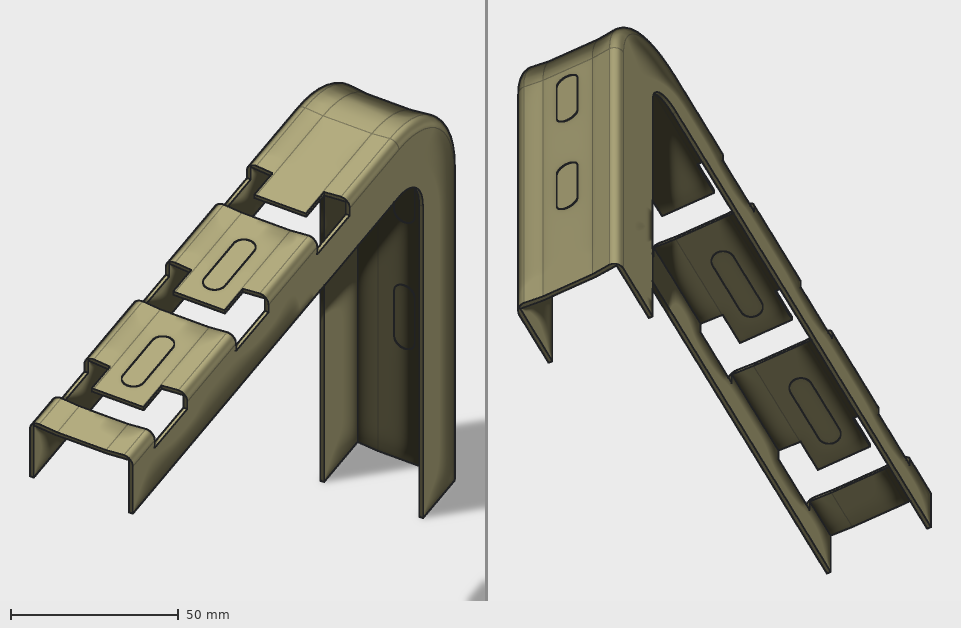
import cadquery as cq
import math

WIDTH = 35.02
ARM_REACH = 200.62
LEG_HEIGHT = 160.62

CHANNEL_DEPTH = 22.0
SHEET = 1.3
CORNER_RADIUS = 3.1
WEB_RECESS = 0.62
RECESS_WIDTH = 16.6
BEND_RADIUS = 37.0

NOTCH_COUNT = 3
PITCH = 50.0
NOTCH_LENGTH = 20.0
NOTCH_DEPTH = 6.2
FIRST_NOTCH = 67.1
TONGUE_LENGTH = 11.1
TONGUE_WIDTH = 17.6

PAD_LENGTH = 25.0
PAD_WIDTH = 7.0
PAD_RISE = 0.2
PADS_PER_LIMB = 2
FIRST_ARM_PAD = 109.6
FIRST_LEG_PAD = 53.8

HALF = WIDTH / 2
HALF_RECESS = RECESS_WIDTH / 2
INNER_HALF = HALF - SHEET
WEB_OUTSIDE = -WEB_RECESS
WEB_INSIDE = WEB_OUTSIDE - SHEET
STRAIGHT_ARM = ARM_REACH - BEND_RADIUS
STRAIGHT_LEG = LEG_HEIGHT - BEND_RADIUS


def channel_profile():
    """Open-bottomed channel in the XZ plane at the start of the straight arm."""
    shoulder = HALF - CORNER_RADIUS
    diagonal = CORNER_RADIUS * (1 - math.sqrt(0.5))
    inner_recess = HALF_RECESS + SHEET / 2
    return (
        cq.Workplane("XZ", origin=(0, -BEND_RADIUS, 0))
        .moveTo(-HALF, -CHANNEL_DEPTH)
        .lineTo(-HALF, -CORNER_RADIUS)
        .threePointArc((-HALF + diagonal, -diagonal), (-shoulder, 0))
        .lineTo(-HALF_RECESS, WEB_OUTSIDE)
        .lineTo(HALF_RECESS, WEB_OUTSIDE)
        .lineTo(shoulder, 0)
        .threePointArc((HALF - diagonal, -diagonal), (HALF, -CORNER_RADIUS))
        .lineTo(HALF, -CHANNEL_DEPTH)
        .lineTo(INNER_HALF, -CHANNEL_DEPTH)
        .lineTo(INNER_HALF, -SHEET)
        .lineTo(inner_recess, WEB_INSIDE)
        .lineTo(-inner_recess, WEB_INSIDE)
        .lineTo(-INNER_HALF, -SHEET)
        .lineTo(-INNER_HALF, -CHANNEL_DEPTH)
        .close()
    )


def elbow_turn(body):
    """Carry a body from its place on the arm to the matching place on the leg."""
    axis_start = (0, -BEND_RADIUS, -BEND_RADIUS)
    axis_end = (1, -BEND_RADIUS, -BEND_RADIUS)
    mirrored = body.mirror("XZ", (0, -BEND_RADIUS, 0))
    return mirrored.rotate(axis_start, axis_end, -90)


def bent_channel():
    arm = channel_profile().extrude(STRAIGHT_ARM)
    leg = elbow_turn(channel_profile().extrude(STRAIGHT_LEG))
    elbow = channel_profile().revolve(90, (0, -BEND_RADIUS, 0), (-1, -BEND_RADIUS, 0))
    return arm.union(elbow).union(leg)


def box_between(x_range, y_range, z_range):
    """Axis-aligned box from the low and high limit on each axis."""
    x_low, x_high = x_range
    y_low, y_high = y_range
    z_low, z_high = z_range
    box = cq.Workplane("XY").box(x_high - x_low, y_high - y_low, z_high - z_low, centered=False)
    return box.translate((x_low, y_low, z_low))


def notch_cutter(start):
    """U-shaped cutter that clears the top of the arm around a tongue."""
    notch_z = (-NOTCH_DEPTH, 0)
    gap = box_between((-HALF, HALF), (-start - NOTCH_LENGTH, -start), notch_z)
    tongue_x = (-TONGUE_WIDTH / 2, TONGUE_WIDTH / 2)
    tongue = box_between(tongue_x, (-start - TONGUE_LENGTH, -start), notch_z)
    return gap.cut(tongue)


def pad_slug(distance, base):
    """Round-ended slug on the web of the arm, PAD_RISE tall above the level base."""
    return (
        cq.Workplane("XY", origin=(0, -distance, base))
        .slot2D(PAD_LENGTH, PAD_WIDTH, 90)
        .extrude(PAD_RISE)
    )


def press_pad(body, raised, pocket):
    """Raise a pad outside the web and sink the matching pocket inside it."""
    return body.union(raised).cut(pocket)


bracket = bent_channel()

for index in range(NOTCH_COUNT):
    bracket = bracket.cut(notch_cutter(FIRST_NOTCH + index * PITCH))

for index in range(PADS_PER_LIMB):
    arm_pad = FIRST_ARM_PAD + index * PITCH
    bracket = press_pad(bracket, pad_slug(arm_pad, WEB_OUTSIDE), pad_slug(arm_pad, WEB_INSIDE))

    leg_pad = FIRST_LEG_PAD + index * PITCH
    leg_raised = elbow_turn(pad_slug(leg_pad, WEB_OUTSIDE))
    leg_pocket = elbow_turn(pad_slug(leg_pad, WEB_INSIDE))
    bracket = press_pad(bracket, leg_raised, leg_pocket)

result = bracket